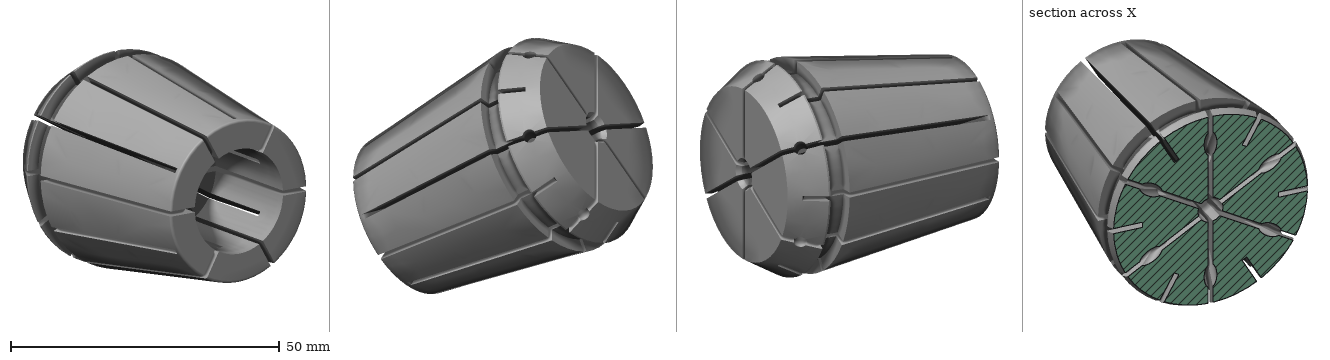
import cadquery as cq
import math

LENGTH = 46.0
MAX_RADIUS = 20.5
NOSE_ANGLE = 30.0
TAPER_ANGLE = 8.0
NOSE_LAND = 0.34
GROOVE_START = 7.0
GROOVE_END = 11.1
GROOVE_RADIUS = 18.1
TAIL_FILLET = 0.5

BORE_RADIUS = 2.5
BORE_RIM_RADIUS = 3.1
BORE_CHAMFER_ANGLE = 30.0
RELIEF_RADIUS = 10.1
RELIEF_START = 24.4

SLOT_COUNT = 6
SLOT_WIDTH = 1.0
SAW_RADIUS = 31.5
NOSE_SAW_X = 18.6
NOSE_SAW_OFFSET = 32.95
TAIL_SAW_X = 28.8
TAIL_SAW_OFFSET = 35.2
NOSE_SLOT_START_ANGLE = 90.0
SLOT_PITCH = 360.0 / SLOT_COUNT
TAIL_SLOT_START_ANGLE = NOSE_SLOT_START_ANGLE + SLOT_PITCH / 2

HOLE_DIAMETER = 2.5
HOLE_X = 3.1
HOLE_DEPTH = 10.0

CLEARANCE = 1.0

BORE_CHAMFER_DEPTH = (BORE_RIM_RADIUS - BORE_RADIUS) / math.tan(math.radians(BORE_CHAMFER_ANGLE))
CONE_LENGTH = GROOVE_START - NOSE_LAND
NOSE_SLOPE = math.tan(math.radians(NOSE_ANGLE))
NOSE_RADIUS = MAX_RADIUS - CONE_LENGTH * NOSE_SLOPE
TAIL_RADIUS = MAX_RADIUS - (LENGTH - GROOVE_END) * math.tan(math.radians(TAPER_ANGLE))


def make_body():
    """Turned body: nose cone, groove, clamping taper and stepped bore."""
    profile = (
        cq.Workplane("XY")
        .moveTo(0, BORE_RIM_RADIUS)
        .lineTo(0, NOSE_RADIUS)
        .lineTo(CONE_LENGTH, MAX_RADIUS)
        .lineTo(GROOVE_START, MAX_RADIUS)
        .lineTo(GROOVE_START, GROOVE_RADIUS)
        .lineTo(GROOVE_END, GROOVE_RADIUS)
        .lineTo(GROOVE_END, MAX_RADIUS)
        .lineTo(LENGTH, TAIL_RADIUS)
        .lineTo(LENGTH, RELIEF_RADIUS)
        .lineTo(RELIEF_START, RELIEF_RADIUS)
        .lineTo(RELIEF_START, BORE_RADIUS)
        .lineTo(BORE_CHAMFER_DEPTH, BORE_RADIUS)
        .close()
    )
    body = profile.revolve(360, (0, 0, 0), (1, 0, 0))
    outer_tail_edge = cq.selectors.RadiusNthSelector(-1)
    return body.faces(">X").edges(outer_tail_edge).fillet(TAIL_FILLET)


def slot_cutter(open_end_x, saw_x, saw_offset):
    """Slot along +Y, straight from the open end to RELIEF_START, then following the saw."""
    straight_length = abs(RELIEF_START - open_end_x)
    straight = (
        cq.Workplane("XY")
        .center((open_end_x + RELIEF_START) / 2, (MAX_RADIUS + CLEARANCE) / 2)
        .rect(straight_length, MAX_RADIUS + CLEARANCE)
        .extrude(SLOT_WIDTH / 2, both=True)
    )
    saw = (
        cq.Workplane("XY")
        .center(saw_x, saw_offset)
        .circle(SAW_RADIUS)
        .extrude(SLOT_WIDTH / 2, both=True)
    )
    return straight.union(saw)


def hole_cutter():
    """Round hole on the +Y side, square to the nose cone surface."""
    surface_radius = NOSE_RADIUS + HOLE_X * NOSE_SLOPE
    outward = cq.Vector(-math.sin(math.radians(NOSE_ANGLE)), math.cos(math.radians(NOSE_ANGLE)), 0)
    start = cq.Vector(HOLE_X, surface_radius, 0) + outward * CLEARANCE
    hole = cq.Solid.makeCylinder(HOLE_DIAMETER / 2, HOLE_DEPTH + CLEARANCE, start, outward * -1)
    return cq.Workplane("XY").add(hole)


def cut_around_axis(body, cutter, start_angle):
    """Cut SLOT_COUNT evenly spaced copies of a cutter around the X axis."""
    for index in range(SLOT_COUNT):
        angle = start_angle + index * SLOT_PITCH
        body = body.cut(cutter.rotate((0, 0, 0), (1, 0, 0), angle))
    return body


nose_slot = slot_cutter(0, NOSE_SAW_X, NOSE_SAW_OFFSET)
tail_slot = slot_cutter(LENGTH, TAIL_SAW_X, TAIL_SAW_OFFSET)

collet = make_body()
collet = cut_around_axis(collet, nose_slot, NOSE_SLOT_START_ANGLE)
collet = cut_around_axis(collet, tail_slot, TAIL_SLOT_START_ANGLE)
collet = cut_around_axis(collet, hole_cutter(), NOSE_SLOT_START_ANGLE)

result = cq.Workplane("XY").add(collet.val())